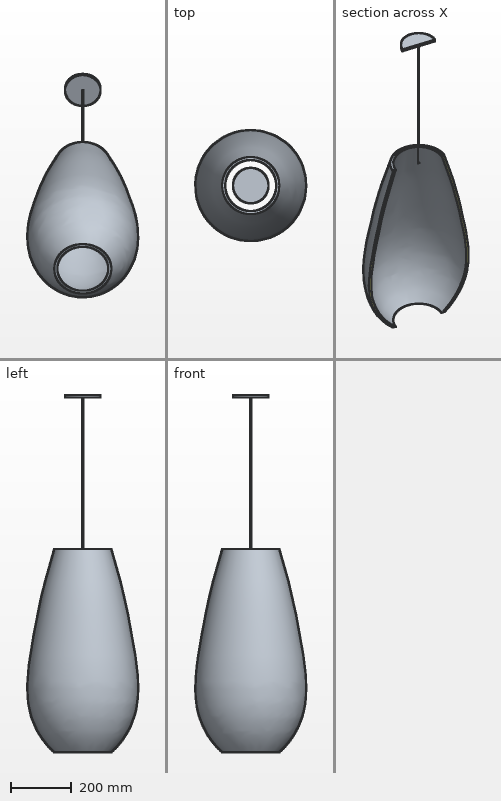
import cadquery as cq

TOTAL_HEIGHT = 1177.0
SHADE_HEIGHT = 670.0

CANOPY_RADIUS = 59.0
CANOPY_THICKNESS = 10.0
CORD_DIAMETER = 5.0

OPENING_RADIUS = 94.0
BELLY_RADIUS = 183.0
BELLY_HEIGHT = 224.0
WALL = 11.0

SHADE_STATIONS = [
    (OPENING_RADIUS, 0.0),
    (148.0, 67.0),
    (174.0, 132.0),
    (BELLY_RADIUS, BELLY_HEIGHT),
    (166.0, 365.0),
    (137.0, 514.0),
    (OPENING_RADIUS, SHADE_HEIGHT),
]


def make_shade():
    """Pear-shaped shell of revolution, open at the top and bottom."""
    outer = SHADE_STATIONS
    inner = [(radius - WALL, height) for radius, height in reversed(outer)]
    return (
        cq.Workplane("XZ")
        .moveTo(*outer[0])
        .spline(outer[1:], includeCurrent=True)
        .lineTo(*inner[0])
        .spline(inner[1:], includeCurrent=True)
        .close()
        .revolve(360, (0, 0, 0), (0, 1, 0))
    )


def make_canopy():
    """Flat disc at the very top of the lamp."""
    canopy_bottom = TOTAL_HEIGHT - CANOPY_THICKNESS
    return cq.Workplane("XY").workplane(offset=canopy_bottom).circle(CANOPY_RADIUS).extrude(CANOPY_THICKNESS)


def make_cord():
    """Thin rod from the level of the shade's upper rim to the canopy."""
    cord_length = TOTAL_HEIGHT - CANOPY_THICKNESS - SHADE_HEIGHT
    return cq.Workplane("XY").workplane(offset=SHADE_HEIGHT).circle(CORD_DIAMETER / 2).extrude(cord_length)


shade = make_shade()
canopy = make_canopy()
cord = make_cord()

result = cq.Compound.makeCompound([shade.val(), canopy.val(), cord.val()])